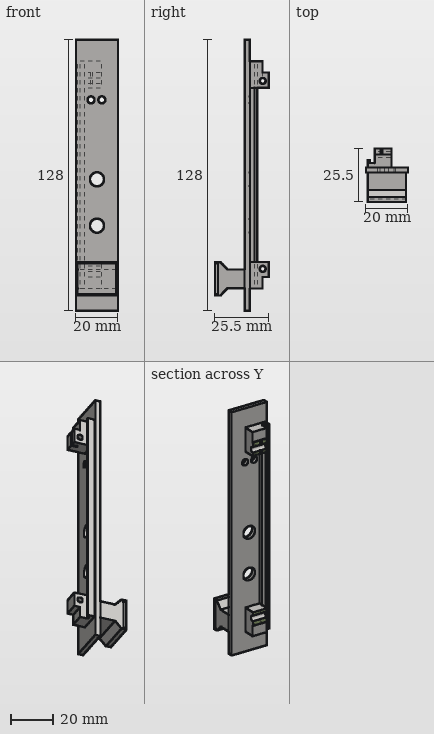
import cadquery as cq

plate_width = 20.0
plate_thickness = 2.5
plate_height = 128.0

screw_hole_diameter = 6.5
screw_hole_heights = (40.2, 62.1)
small_hole_diameter = 3.2
small_hole_height = 99.6
small_hole_spacing = 5.1
small_hole_center_x = -0.3

knob_width = 18.2
knob_depth = 14.0
knob_center_height = 15.1
neck_height = 9.0
neck_depth = 8.0
head_height = 15.9
taper_depth = 3.3
insert_height = 14.3
insert_depth = 1.5

rail_left = -knob_width / 2
rail_bottom = 10.5
rail_top = 117.9
rail_floor = 2.0
lip_width = 1.2
lip_depth = 3.5

lug_left = -5.9
lug_right = 2.2
lug_width = lug_right - lug_left
lug_length = 12.7
lug_step_length = 5.4
lug_step_depth = 6.0
lug_depth = 9.0
lug_hole_diameter = 2.7
lug_hole_from_end = 9.3
lug_slot_width = 0.8
lug_slot_left = -3.0

plate_front = -plate_thickness
knob_front = plate_front - knob_depth


def box(x_min, y_min, z_min, x_size, y_size, z_size):
    """Box given by its lowest corner and its sizes."""
    return cq.Workplane("XY").box(x_size, y_size, z_size, centered=False).translate((x_min, y_min, z_min))


def y_holes(centers, diameter):
    """Cylinders along Y that pass through the plate."""
    return cq.Workplane("XZ").pushPoints(centers).circle(diameter / 2).extrude(plate_thickness)


def cut_through_holes(body):
    """Cut the screw holes and the pair of small holes."""
    screw_centers = [(0, height) for height in screw_hole_heights]
    small_centers = [
        (small_hole_center_x + side * small_hole_spacing / 2, small_hole_height) for side in (-1, 1)
    ]
    body = body.cut(y_holes(screw_centers, screw_hole_diameter))
    return body.cut(y_holes(small_centers, small_hole_diameter))


def make_plate():
    """Long flat plate with through holes."""
    blank = box(-plate_width / 2, plate_front, 0, plate_width, plate_thickness, plate_height)
    return cut_through_holes(blank)


def make_insert():
    """Flat strip set flush into the front face of the knob."""
    bottom = knob_center_height - insert_height / 2
    return box(-knob_width / 2, knob_front, bottom, knob_width, insert_depth, insert_height)


def make_knob():
    """Narrow neck that flares to a wider head, with a recess for the insert."""
    neck_end = plate_front - neck_depth
    head_start = neck_end - taper_depth
    upper_half = [
        (plate_front, neck_height / 2),
        (neck_end, neck_height / 2),
        (head_start, head_height / 2),
        (knob_front, head_height / 2),
    ]
    lower_half = [(y, -z) for y, z in reversed(upper_half)]
    body = (
        cq.Workplane("YZ", origin=(0, 0, knob_center_height))
        .polyline(upper_half + lower_half)
        .close()
        .extrude(knob_width / 2, both=True)
    )
    return body.cut(make_insert())


def make_lug(end_height, inward):
    """Lug stepped down at the rail end; inward is the Z direction away from that end."""
    profile = [
        (0, 0),
        (lug_step_depth, 0),
        (lug_step_depth, lug_step_length),
        (lug_depth, lug_step_length),
        (lug_depth, lug_length),
        (0, lug_length),
    ]
    plane = cq.Workplane("YZ", origin=(lug_left, 0, end_height))
    lug = plane.polyline([(y, inward * z) for y, z in profile]).close().extrude(lug_width)
    hole = (
        plane.center(lug_step_depth, inward * lug_hole_from_end)
        .circle(lug_hole_diameter / 2)
        .extrude(lug_width)
    )
    return lug.cut(hole)


def make_rail():
    """Narrow lipped rail with a lug at each end and a slot splitting the tall part of the upper one."""
    rail_length = rail_top - rail_bottom
    rail = box(rail_left, 0, rail_bottom, lug_left - rail_left, rail_floor, rail_length)
    rail = rail.union(box(rail_left, 0, rail_bottom, lip_width, lip_depth, rail_length))
    for end_height, inward in ((rail_bottom, 1), (rail_top, -1)):
        rail = rail.union(make_lug(end_height, inward))
    slot = box(
        lug_slot_left,
        lug_step_depth,
        rail_top - lug_length,
        lug_slot_width,
        lug_depth - lug_step_depth,
        lug_length,
    )
    return rail.cut(slot)


plate = make_plate()
knob = make_knob()
insert = make_insert()
rail = make_rail()

result = cq.Compound.makeCompound([plate.val(), knob.val(), insert.val(), rail.val()])